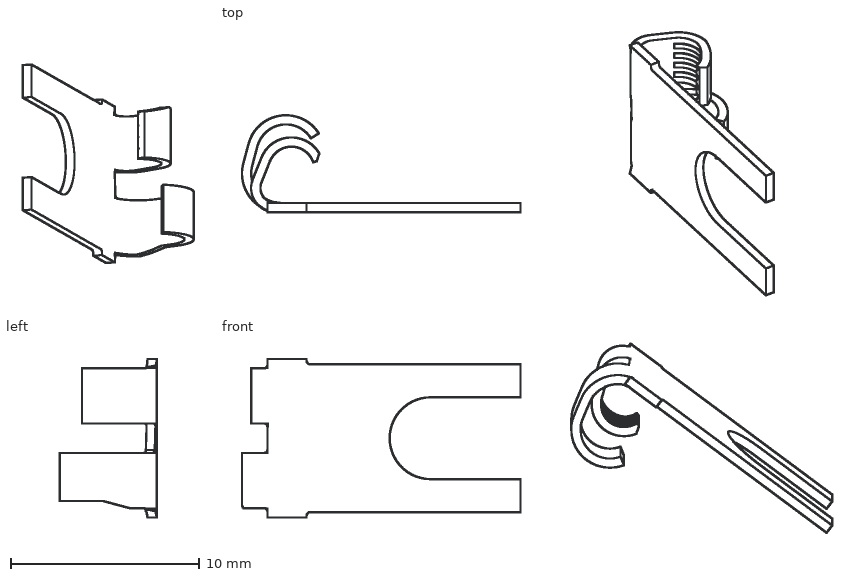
import cadquery as cq
import math


thickness = 0.5
length = 14.79
fork_width = 7.86
tab_width = 8.43
tab_start = 1.35
tab_end = 3.44
shoulder_radius = 0.18

slot_radius = 2.165
slot_center_x = 10.01

hook_gap = 1.54
hook_width = 2.95
root_radius = 0.15
fillet_overlap = 0.05

large_bend_radius = 2.06
large_lean = 14.9
large_height = 5.16
large_tip_angle = 31.8
taper_depth = 0.39
taper_start_y = 1.43
taper_end_y = 2.88

small_bend_x = 1.79
small_bend_radius = 1.30
small_curl_radius = 1.72
small_lean = 21.9
small_height = 3.98
small_tip_angle = 18.5
tip_bevel_start_angle = 30.3
tip_bevel_depth = 0.3
small_taper_slope = 0.32

groove_count = 4
groove_pitch = 0.625
groove_depth = 0.165

hook_inner_z = hook_gap / 2
hook_outer_z = hook_inner_z + hook_width
hook_mid_z = (hook_inner_z + hook_outer_z) / 2

large_bend = (large_bend_radius, large_bend_radius)
small_bend = (small_bend_x, small_bend_radius)


def polar(center, radius, angle):
    """Point at an angle in degrees around a center."""
    a = math.radians(angle)
    return (center[0] + radius * math.cos(a), center[1] + radius * math.sin(a))


def curl_center(bend_center, bend_radius, curl_radius, lean, height):
    """Center of the curl that is tangent to the leaning straight and peaks at the hook height."""
    a = math.radians(lean)
    y = height - curl_radius
    rise = y - bend_center[1] + (curl_radius - bend_radius) * math.sin(a)
    shift = (curl_radius - bend_radius) * math.cos(a) + rise * math.tan(a)
    return (bend_center[0] + shift, y)


def extrude_z(profile, z_low, z_high):
    """Extrude a closed XY outline between two Z levels; the outline can be used again."""
    outline = profile.val().translate((0, 0, z_low))
    return cq.Workplane("XY").add(outline).toPending().extrude(z_high - z_low)


def hook_profile(bend_center, bend_radius, curl, curl_radius, lean, tip_angle):
    """XY outline of a hook: flat root, first bend, leaning straight and curl."""
    straight_angle = 180 - lean
    bend_inner = bend_radius - thickness
    curl_inner = curl_radius - thickness
    bend_mid = (270 + straight_angle) / 2
    curl_mid = (straight_angle + tip_angle) / 2

    def bend_point(radius, angle):
        return polar(bend_center, radius, angle)

    def curl_point(radius, angle):
        return polar(curl, radius, angle)

    return (
        cq.Workplane("XY")
        .moveTo(tab_end, 0)
        .lineTo(*bend_point(bend_radius, 270))
        .threePointArc(bend_point(bend_radius, bend_mid), bend_point(bend_radius, straight_angle))
        .lineTo(*curl_point(curl_radius, straight_angle))
        .threePointArc(curl_point(curl_radius, curl_mid), curl_point(curl_radius, tip_angle))
        .lineTo(*curl_point(curl_inner, tip_angle))
        .threePointArc(curl_point(curl_inner, curl_mid), curl_point(curl_inner, straight_angle))
        .lineTo(*bend_point(bend_inner, straight_angle))
        .threePointArc(bend_point(bend_inner, bend_mid), bend_point(bend_inner, 270))
        .lineTo(tab_end, thickness)
        .close()
    )


def corner_fillet(radius, side_x, side_z, depth):
    """Fillet bar along Y in the corner at the origin, open towards side_x and side_z (+1 or -1).

    The bar overlaps past the corner along X, into the tab it joins.
    """
    center = (side_x * radius, side_z * radius)
    nearest = 1 - math.sqrt(0.5)
    return (
        cq.Workplane("XZ")
        .moveTo(center[0], 0)
        .threePointArc((nearest * center[0], nearest * center[1]), (0, center[1]))
        .lineTo(-side_x * fillet_overlap, center[1])
        .lineTo(-side_x * fillet_overlap, 0)
        .close()
        .extrude(-depth)
    )


def make_fork():
    """Flat fork with a round-ended slot and filleted shoulders beside the tabs."""
    fork = cq.Workplane("XY").box(length - tab_end, thickness, fork_width, centered=(False, False, True))
    fork = fork.translate((tab_end, 0, 0))

    slot_length = length - slot_center_x
    slot = cq.Workplane("XY").box(slot_length, thickness, 2 * slot_radius, centered=(False, False, True))
    slot = slot.translate((slot_center_x, 0, 0))
    slot_end = cq.Workplane("XZ").center(slot_center_x, 0).circle(slot_radius).extrude(-thickness)
    fork = fork.cut(slot).cut(slot_end)

    for side in (-1, 1):
        shoulder = corner_fillet(shoulder_radius, 1, side, thickness)
        fork = fork.union(shoulder.translate((tab_end, 0, side * fork_width / 2)))
    return fork


def root_angle(bend_center, bend_radius):
    """Angle in degrees from the start of a bend to the free end of the tabs."""
    return math.degrees(math.asin((bend_center[0] - tab_start) / bend_radius))


def bent_section(bend_center, bend_radius, z):
    """Cross-section of a tab where it follows the first bend of a hook."""
    bend_inner = bend_radius - thickness
    end = 270 - root_angle(bend_center, bend_radius)
    middle = (270 + end) / 2
    return (
        cq.Workplane("XY", origin=(0, 0, z))
        .moveTo(tab_end, 0)
        .lineTo(*polar(bend_center, bend_radius, 270))
        .threePointArc(polar(bend_center, bend_radius, middle), polar(bend_center, bend_radius, end))
        .lineTo(*polar(bend_center, bend_inner, end))
        .threePointArc(polar(bend_center, bend_inner, middle), polar(bend_center, bend_inner, 270))
        .lineTo(tab_end, thickness)
        .close()
        .val()
    )


def flat_section(bend_x, z):
    """Flat cross-section of a tab, divided at the start of the neighbouring bend."""
    corners = [
        (tab_end, 0),
        (bend_x, 0),
        (tab_start, 0),
        (tab_start, thickness),
        (bend_x, thickness),
        (tab_end, thickness),
    ]
    return cq.Workplane("XY", origin=(0, 0, z)).polyline(corners).close().val()


def loft_tab(low_section, high_section):
    return cq.Workplane(cq.Solid.makeLoft([low_section, high_section], True))


def make_tabs():
    """Middle tab between the two bends, and outer tabs that run from a bend out to flat."""
    tab_edge_z = tab_width / 2
    lower_tab = loft_tab(
        flat_section(large_bend[0], -tab_edge_z),
        bent_section(large_bend, large_bend_radius, -hook_outer_z),
    )
    middle_tab = loft_tab(
        bent_section(large_bend, large_bend_radius, -hook_inner_z),
        bent_section(small_bend, small_bend_radius, hook_inner_z),
    )
    upper_tab = loft_tab(
        bent_section(small_bend, small_bend_radius, hook_outer_z),
        flat_section(small_bend[0], tab_edge_z),
    )
    return [lower_tab, middle_tab, upper_tab]


def add_root_fillets(hook, profile, bend_center, bend_radius, z_low, z_high):
    """Fillet both sides of a hook against the ends of the tabs beside it."""
    angle = root_angle(bend_center, bend_radius)
    root = polar(bend_center, bend_radius, 270 - angle)
    hook_space = extrude_z(profile, -tab_width / 2, tab_width / 2)
    for z, side in ((z_low, -1), (z_high, 1)):
        bar = corner_fillet(root_radius, -1, side, 4 * thickness)
        bar = bar.translate((0, -2 * thickness, 0))
        bar = bar.rotate((0, 0, 0), (0, 0, 1), -angle)
        bar = bar.translate((root[0], root[1], z))
        hook = hook.union(bar.intersect(hook_space))
    return hook


def make_lower_hook():
    """Large hook, narrowed on its -Z side above the first bend."""
    curl = curl_center(large_bend, large_bend_radius, large_bend_radius, large_lean, large_height)
    profile = hook_profile(
        large_bend, large_bend_radius, curl, large_bend_radius, large_lean, large_tip_angle
    )
    hook = extrude_z(profile, -hook_outer_z, -hook_inner_z)
    taper = (
        cq.Workplane("YZ")
        .moveTo(taper_start_y, -hook_outer_z)
        .lineTo(taper_end_y, -hook_outer_z + taper_depth)
        .lineTo(large_height, -hook_outer_z + taper_depth)
        .lineTo(large_height, -hook_outer_z)
        .close()
        .extrude(length)
    )
    hook = hook.cut(taper)
    return add_root_fillets(hook, profile, large_bend, large_bend_radius, -hook_outer_z, -hook_inner_z)


def make_tip_bevel(curl):
    """Wedge that bevels the outer edge of the small hook's tip."""
    wedge = (
        cq.Workplane("XY")
        .moveTo(*polar(curl, small_curl_radius, tip_bevel_start_angle))
        .lineTo(*polar(curl, small_curl_radius - tip_bevel_depth, small_tip_angle))
        .lineTo(*polar(curl, small_curl_radius + tip_bevel_depth, small_tip_angle))
        .close()
    )
    return extrude_z(wedge, hook_inner_z, hook_outer_z)


def make_tip_taper(curl):
    """Wedge that slopes the +Z side of the small hook from the peak of its curl to its tip."""
    run = small_curl_radius
    return (
        cq.Workplane("XZ")
        .moveTo(curl[0], hook_outer_z)
        .lineTo(curl[0] + run, hook_outer_z)
        .lineTo(curl[0] + run, hook_outer_z - run * small_taper_slope)
        .close()
        .extrude(-small_height)
        .translate((0, curl[1], 0))
    )


def make_upper_hook():
    """Small hook with V grooves around the inside of its curl."""
    curl = curl_center(small_bend, small_bend_radius, small_curl_radius, small_lean, small_height)
    curl_inner = small_curl_radius - thickness
    profile = hook_profile(
        small_bend, small_bend_radius, curl, small_curl_radius, small_lean, small_tip_angle
    )
    hook = extrude_z(profile, hook_inner_z, hook_outer_z)

    sweep = 180 - small_lean - small_tip_angle
    for i in range(groove_count):
        z = hook_mid_z + (i - (groove_count - 1) / 2) * groove_pitch
        groove = (
            cq.Workplane("XZ")
            .moveTo(curl_inner - groove_depth, z - 2 * groove_depth)
            .lineTo(curl_inner + groove_depth, z)
            .lineTo(curl_inner - groove_depth, z + 2 * groove_depth)
            .close()
            .revolve(sweep, (0, 0), (0, 1))
            .rotate((0, 0, 0), (0, 0, 1), small_tip_angle)
            .translate((curl[0], curl[1], 0))
        )
        hook = hook.cut(groove)

    hook = hook.cut(make_tip_bevel(curl)).cut(make_tip_taper(curl))
    return add_root_fillets(hook, profile, small_bend, small_bend_radius, hook_inner_z, hook_outer_z)


result = make_fork().union(make_lower_hook()).union(make_upper_hook())
for tab in make_tabs():
    result = result.union(tab)